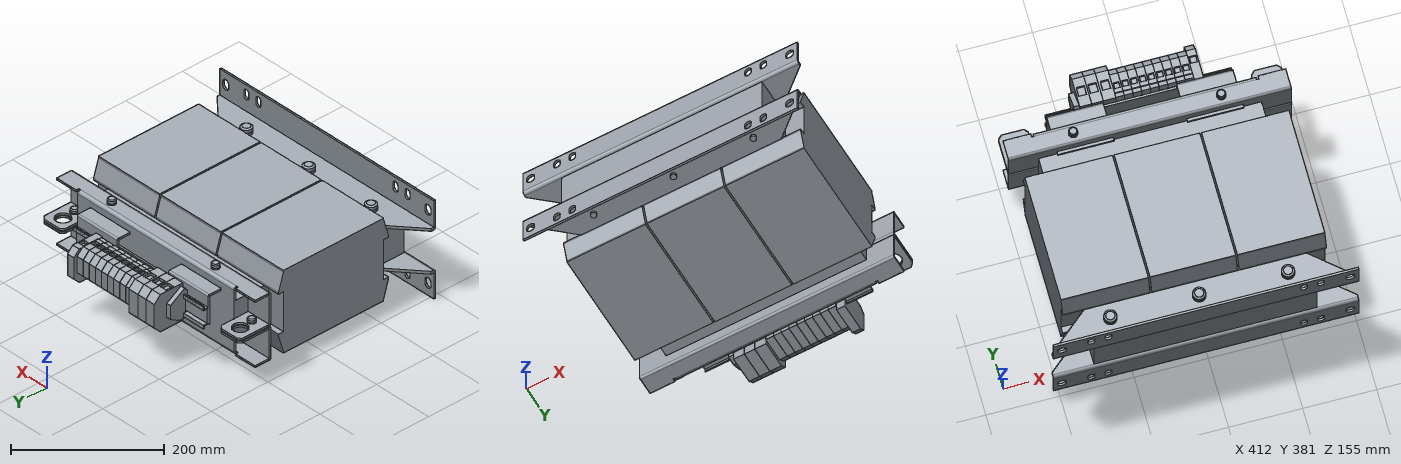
import cadquery as cq

CORE_HALF_X = 150.5
CORE_HALF_Z = 31.5
CORE_FRONT = 4.5
CORE_BACK = 305.0
FRONT_YOKE_BACK = 66.0
REAR_YOKE_FRONT = 244.7
LEG_WIDTH = 62.0

COIL_PITCH = 119.0
COIL_GAP = 2.5
COIL_HALF_X = 178.0
COIL_HALF_Z = 65.3
COIL_FRONT = FRONT_YOKE_BACK
COIL_BACK = 243.0
FLANGE_OVERHANG = 8.5
FLANGE_RIM = 3.0

ANGLE_HALF_X = 206.0
ANGLE_TOP = 77.5
ANGLE_WALL = 3.1
ANGLE_FLANGE = 4.5
ANGLE_BACK = 55.5
ANGLE_SLOPE_START = 8.0
END_SLOT_X = 194.5
END_SLOT_Z = 57.5
END_SLOT_WIDTH = 11.5
INNER_SLOT_XS = (132.0, 155.0)
INNER_SLOT_Z = 62.4
INNER_SLOT_WIDTH = 9.5
SLOT_HEIGHT = 16.0
CORE_BOLT_XS = (-120.0, 0.0, 120.0)
CORE_BOLT_Y = 35.0

SHEET = 3.1
BEND = 4.5
CHANNEL_HALF_X = 190.8
CHANNEL_FRONT = 277.0
CHANNEL_BACK = CORE_BACK
CHANNEL_TOP = 53.0
CHANNEL_GAP = 1.2
WEB_BEND = 3.1
RELIEF_WIDTH = 3.0
LUG_BACK = 332.0
LUG_CORNER = 5.0
LUG_HOLE_Y = 312.5
LUG_HOLE_DIAMETER = 23.0
LUG_BOLT_Y = 292.0

WASHER_OVERSIZE = 0.5
BOLT_CAP_HEIGHT = 1.5

BRACKET_HALF_X = 125.5
TAB_INNER_X = 49.5
TAB_FRONT = 272.7
TAB_TOP = 39.0
BRACKET_BACK = 328.0
BRACKET_BOTTOM = -7.5
BRACKET_BEND = 2.5
PLATE_TOP = 29.0
BRACKET_BOLT_X = 99.9
BRACKET_BOLT_Y = 291.08

RAIL_MIDDLE_Z = 6.8
RAIL_HALF_WIDTH = 17.5
RAIL_HALF_BASE = 13.0
RAIL_SHEET = 1.5
RAIL_BACK = 336.0

JOINT = 0.25
STRIP_START = -87.5
END_PLATE_WIDTH = 7.5
TERMINAL_FRONT = 330.5
TERMINAL_BACK = 381.0
TERMINAL_BOTTOM = -22.2
POCKET_DEPTH = 4.0
LARGE_WIDTHS = (16.0, 15.5, 17.5)
LARGE_TOP = 36.5
LARGE_CHAMFER = 10.7
LARGE_POCKET = (10.7, 12.8)
LARGE_POCKET_Y = 351.5
SMALL_COUNT = 9
SMALL_WIDTH = 11.7
SMALL_TOP = 32.0
SMALL_BACK = 375.7
SMALL_BOTTOM = -15.2
SMALL_CHAMFER = 10.7
SMALL_POCKET = (7.5, 8.2)
SMALL_POCKET_Y = 349.0
CLAMP_WIDTH = 12.8
CLAMP_TOP = 31.0
CLAMP_CHAMFER = 9.5
CLAMP_POCKET = (8.5, 9.5)
CLAMP_POCKET_Y = 358.0


def box(x_range, y_range, z_range):
    """Box between the given limits."""
    (x0, x1), (y0, y1), (z0, z1) = x_range, y_range, z_range
    return cq.Workplane("XY").box(x1 - x0, y1 - y0, z1 - z0, centered=False).translate((x0, y0, z0))


def extrude_along_x(points, x0, x1):
    """Prism with a (Y, Z) outline between two X positions."""
    return cq.Workplane("YZ", origin=(x0, 0, 0)).polyline(points).close().extrude(x1 - x0)


def mirror_x(body):
    return body.union(body.mirror("YZ"))


def cylinder(x, y, z0, z1, diameter):
    return cq.Workplane("XY", origin=(x, y, z0)).circle(diameter / 2).extrude(z1 - z0)


def bolt(x, y, seat, tip, head_diameter, washer_height, head_height, cap_diameter, shank_diameter):
    """Round head with a conical cap on a slightly wider washer, and a shank down to its tip."""
    shank = cylinder(x, y, tip, seat, shank_diameter)
    washer = cylinder(x, y, seat, seat + washer_height, head_diameter + WASHER_OVERSIZE)
    head = cylinder(x, y, seat, seat + head_height, head_diameter)
    cap = (
        cq.Workplane("XY", origin=(x, y, seat + head_height))
        .circle(head_diameter / 2)
        .workplane(offset=BOLT_CAP_HEIGHT)
        .circle(cap_diameter / 2)
        .loft()
    )
    return shank.union(washer).union(head).union(cap)


def make_core():
    """Three legs joining a front and a rear yoke."""
    full_x = (-CORE_HALF_X, CORE_HALF_X)
    full_z = (-CORE_HALF_Z, CORE_HALF_Z)
    core = box(full_x, (CORE_FRONT, FRONT_YOKE_BACK), full_z)
    core = core.union(box(full_x, (REAR_YOKE_FRONT, CORE_BACK), full_z))
    outer_leg = CORE_HALF_X - LEG_WIDTH / 2
    for x in (-outer_leg, 0, outer_leg):
        leg_x = (x - LEG_WIDTH / 2, x + LEG_WIDTH / 2)
        core = core.union(box(leg_x, (FRONT_YOKE_BACK, REAR_YOKE_FRONT), full_z))
    return core


def make_coils():
    """Coil blocks whose tapered flanges overhang the yokes above and below."""
    rim_top = CORE_HALF_Z + FLANGE_RIM
    taper_top = COIL_HALF_Z - FLANGE_RIM
    upper = [
        (COIL_FRONT, CORE_HALF_Z),
        (COIL_FRONT - FLANGE_OVERHANG, CORE_HALF_Z),
        (COIL_FRONT - FLANGE_OVERHANG, rim_top),
        (COIL_FRONT, taper_top),
        (COIL_FRONT, COIL_HALF_Z),
        (COIL_BACK, COIL_HALF_Z),
        (COIL_BACK, taper_top),
        (COIL_BACK + FLANGE_OVERHANG, rim_top),
        (COIL_BACK + FLANGE_OVERHANG, CORE_HALF_Z),
        (COIL_BACK, CORE_HALF_Z),
    ]
    lower = [(y, -z) for y, z in reversed(upper)]
    middle_half = COIL_HALF_X - COIL_PITCH - COIL_GAP / 2
    side_inner = middle_half + COIL_GAP
    coils = extrude_along_x(upper + lower, -middle_half, middle_half)
    return coils.union(mirror_x(extrude_along_x(upper + lower, side_inner, COIL_HALF_X)))


def make_front_angle():
    """Upper L-shaped mounting angle with a trapezoidal flange and slotted wall."""
    wall = box((-ANGLE_HALF_X, ANGLE_HALF_X), (0, ANGLE_WALL), (CORE_HALF_Z, ANGLE_TOP))
    flange_outline = [
        (-ANGLE_HALF_X, 0),
        (ANGLE_HALF_X, 0),
        (ANGLE_HALF_X, ANGLE_SLOPE_START),
        (CORE_HALF_X, ANGLE_BACK),
        (-CORE_HALF_X, ANGLE_BACK),
        (-ANGLE_HALF_X, ANGLE_SLOPE_START),
    ]
    flange = (
        cq.Workplane("XY", origin=(0, 0, CORE_HALF_Z)).polyline(flange_outline).close().extrude(ANGLE_FLANGE)
    )
    angle = wall.union(flange).edges(cq.selectors.NearestToPointSelector((0, 0, CORE_HALF_Z))).fillet(BEND)

    end_slots = [(side * END_SLOT_X, END_SLOT_Z) for side in (-1, 1)]
    inner_slots = [(side * x, INNER_SLOT_Z) for side in (-1, 1) for x in INNER_SLOT_XS]
    for centers, width in ((end_slots, END_SLOT_WIDTH), (inner_slots, INNER_SLOT_WIDTH)):
        cutter = (
            cq.Workplane("XZ", origin=(0, 2 * ANGLE_WALL, 0))
            .pushPoints(centers)
            .slot2D(SLOT_HEIGHT, width, 90)
            .extrude(3 * ANGLE_WALL)
        )
        angle = angle.cut(cutter)
    return angle


def make_rear_channel():
    """Upper channel: web, top flange with a lip resting on the core, and two lifting lugs."""
    bottom = CHANNEL_GAP / 2
    full_x = (-CHANNEL_HALF_X, CHANNEL_HALF_X)
    lip_x = (-CORE_HALF_X, CORE_HALF_X)
    web = box(full_x, (CHANNEL_FRONT, CHANNEL_FRONT + SHEET), (bottom, CHANNEL_TOP))
    flange = box(full_x, (CHANNEL_FRONT, CHANNEL_BACK), (CHANNEL_TOP - SHEET, CHANNEL_TOP))
    bottom_flange = box(full_x, (CHANNEL_FRONT, CHANNEL_BACK), (bottom, bottom + SHEET))
    lug_x = (CORE_HALF_X, CHANNEL_HALF_X)
    lug = box(lug_x, (CHANNEL_BACK - BEND, LUG_BACK), (bottom, bottom + SHEET))
    lug = lug.edges("|Z and >Y").chamfer(LUG_CORNER)
    lug_middle = sum(lug_x) / 2
    eye = cylinder(lug_middle, LUG_HOLE_Y, bottom, bottom + SHEET, LUG_HOLE_DIAMETER)
    relief_x = (CORE_HALF_X, CORE_HALF_X + RELIEF_WIDTH)
    relief = box(relief_x, (CHANNEL_BACK - BEND, CHANNEL_BACK), (CHANNEL_TOP - SHEET, CHANNEL_TOP))
    channel = web.union(flange).union(bottom_flange).union(mirror_x(lug))
    channel = channel.cut(mirror_x(eye)).cut(mirror_x(relief))
    channel = channel.edges("|X and <Y").fillet(WEB_BEND)

    bend_y = (CHANNEL_FRONT + BEND, CHANNEL_BACK)
    flange_z = (CHANNEL_TOP - SHEET, CHANNEL_TOP)
    lip = box(lip_x, bend_y, (CORE_HALF_Z, CHANNEL_TOP)).edges("|X and >Y and >Z").fillet(BEND)
    below_flange = (CORE_HALF_Z, CHANNEL_TOP - SHEET)
    lip = lip.cut(box(lip_x, (CHANNEL_FRONT + BEND, CHANNEL_BACK - SHEET), below_flange))
    return channel.cut(box(lip_x, bend_y, flange_z)).union(lip)


def make_bracket():
    """Upright plate behind the core, held by two flat tabs bent from its raised ends."""
    front = BRACKET_BACK - SHEET
    tab_x = (TAB_INNER_X, BRACKET_HALF_X)
    end = box(tab_x, (front, BRACKET_BACK), (BRACKET_BOTTOM, TAB_TOP))
    end = end.union(box(tab_x, (TAB_FRONT, BRACKET_BACK), (TAB_TOP - SHEET, TAB_TOP)))
    end = end.edges("|X and >Y and >Z").fillet(BRACKET_BEND)
    middle = box((-TAB_INNER_X, TAB_INNER_X), (front, BRACKET_BACK), (BRACKET_BOTTOM, PLATE_TOP))
    return mirror_x(end).union(middle)


def make_rail():
    """Hat rail: flat base, two walls and outward lips."""
    full_x = (-BRACKET_HALF_X, BRACKET_HALF_X)
    wall_inner = RAIL_HALF_BASE - RAIL_SHEET
    base_z = (RAIL_MIDDLE_Z - RAIL_HALF_BASE, RAIL_MIDDLE_Z + RAIL_HALF_BASE)
    rail = box(full_x, (BRACKET_BACK, BRACKET_BACK + RAIL_SHEET), base_z)
    for side in (-1, 1):
        wall_z = sorted(RAIL_MIDDLE_Z + side * z for z in (wall_inner, RAIL_HALF_BASE))
        lip_z = sorted(RAIL_MIDDLE_Z + side * z for z in (wall_inner, RAIL_HALF_WIDTH))
        rail = rail.union(box(full_x, (BRACKET_BACK, RAIL_BACK), wall_z))
        rail = rail.union(box(full_x, (RAIL_BACK - RAIL_SHEET, RAIL_BACK), lip_z))
    return rail


def make_end_plate(x0):
    """Tapered end plate whose front edge is recessed between the rail lips."""
    outline = [
        (329.5, 28.5),
        (333.7, 33.8),
        (359.3, 17.7),
        (359.3, -4.0),
        (343.5, -13.0),
        (329.5, -13.0),
        (329.5, -4.5),
        (332.5, -4.5),
        (332.5, 18.5),
        (329.5, 18.5),
    ]
    return extrude_along_x(outline, x0, x0 + END_PLATE_WIDTH - JOINT)


def cut_pocket(block, x, y, top, size):
    pocket = cq.Workplane("XY", origin=(x, y, top - POCKET_DEPTH)).rect(*size).extrude(POCKET_DEPTH)
    return block.cut(pocket)


def make_tall_block(x0, width, top, chamfer, pocket_size, pocket_y):
    """Full-depth block with chamfered rear corners and a rectangular pocket in its top."""
    x1 = x0 + width - JOINT
    block = box((x0, x1), (TERMINAL_FRONT, TERMINAL_BACK), (TERMINAL_BOTTOM, top))
    block = block.edges("|X and >Y").chamfer(chamfer)
    return cut_pocket(block, (x0 + x1) / 2, pocket_y, top, pocket_size)


def make_small_terminal(x0):
    """Lower block with a tilted front ledge and a foot behind the rail base."""
    x1 = x0 + SMALL_WIDTH - JOINT
    chamfer_start = SMALL_BACK - SMALL_CHAMFER
    outline = [
        (chamfer_start, SMALL_TOP),
        (SMALL_BACK, SMALL_TOP - SMALL_CHAMFER),
        (SMALL_BACK, SMALL_BOTTOM + SMALL_CHAMFER),
        (chamfer_start, SMALL_BOTTOM),
        (328.8, SMALL_BOTTOM),
        (328.8, 21.5),
        (331.0, 21.5),
        (333.0, 31.5),
        (339.0, 29.5),
        (339.0, SMALL_TOP),
    ]
    block = extrude_along_x(outline, x0, x1)
    return cut_pocket(block, (x0 + x1) / 2, SMALL_POCKET_Y, SMALL_TOP, SMALL_POCKET)


def make_terminals():
    """End plate, large terminals, small terminals and end clamp, side by side."""
    x = STRIP_START
    blocks = [make_end_plate(x)]
    x += END_PLATE_WIDTH
    for width in LARGE_WIDTHS:
        blocks.append(make_tall_block(x, width, LARGE_TOP, LARGE_CHAMFER, LARGE_POCKET, LARGE_POCKET_Y))
        x += width
    for _ in range(SMALL_COUNT):
        blocks.append(make_small_terminal(x))
        x += SMALL_WIDTH
    blocks.append(make_tall_block(x, CLAMP_WIDTH, CLAMP_TOP, CLAMP_CHAMFER, CLAMP_POCKET, CLAMP_POCKET_Y))
    return blocks


def make_bolts():
    """Bolts through the front angles, the rear channel and the lifting lugs."""
    angle_seat = CORE_HALF_Z + ANGLE_FLANGE
    lug_seat = CHANNEL_GAP / 2 + SHEET
    lug_x = (CORE_HALF_X + CHANNEL_HALF_X) / 2
    bolts = [bolt(x, CORE_BOLT_Y, angle_seat, -39.5, 17.5, 3.7, 8.2, 12.0, 8.5) for x in CORE_BOLT_XS]
    for side in (-1, 1):
        bracket_x = side * BRACKET_BOLT_X
        bolts.append(bolt(bracket_x, BRACKET_BOLT_Y, CHANNEL_TOP, CORE_HALF_Z, 12.0, 2.0, 6.0, 9.5, 6.0))
        bolts.append(bolt(side * lug_x, LUG_BOLT_Y, lug_seat, -5.5, 12.0, 1.5, 5.0, 8.5, 6.5))
    return bolts


front_angle = make_front_angle()
rear_channel = make_rear_channel()

result = make_core().union(make_coils())
for part in (front_angle, rear_channel):
    result = result.union(part).union(part.mirror("XY"))
for part in (make_bracket(), make_rail(), *make_terminals(), *make_bolts()):
    result = result.union(part)